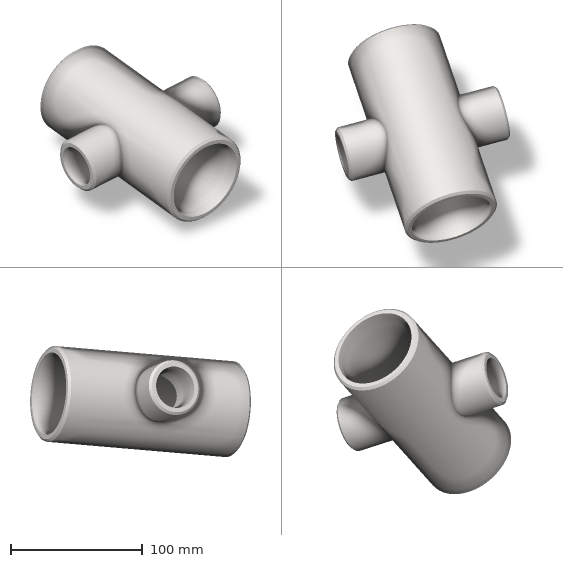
import cadquery as cq

run_length = 152.4
run_outer_diameter = 73.0
run_bore_diameter = 62.8

branch_span = 127.0
branch_outer_diameter = 42.2
branch_bore_diameter = 31.9

bevel_size = 1.8


def cylinder(plane, diameter, length):
    """Cylinder centred on the origin, along the normal of the plane."""
    return cq.Workplane(plane).circle(diameter / 2).extrude(length / 2, both=True)


def bevelled_cylinder(plane, diameter, length):
    """Centred cylinder with a bevel around both ends."""
    return cylinder(plane, diameter, length).edges("%CIRCLE").chamfer(bevel_size)


run_body = bevelled_cylinder("YZ", run_outer_diameter, run_length)
branch_body = bevelled_cylinder("XZ", branch_outer_diameter, branch_span)
run_bore = cylinder("YZ", run_bore_diameter, run_length)
branch_bore = cylinder("XZ", branch_bore_diameter, branch_span)

result = run_body.union(branch_body).cut(run_bore).cut(branch_bore)